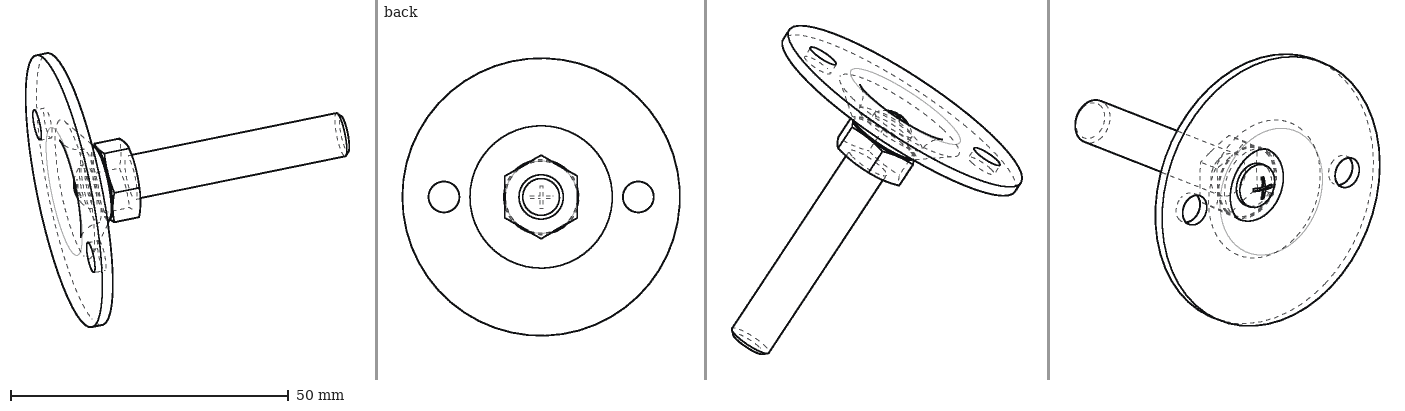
import cadquery as cq
import math

TOTAL_LENGTH = 52.5
PLATE_THICKNESS = 2.0
CONE_TOP = 7.0
COLLAR_HEIGHT = 0.3
NUT_TOP = 12.5

PLATE_DIAMETER = 50.0
HOLE_DIAMETER = 5.5
HOLE_OFFSET = 17.5
CONE_BASE_RADIUS = 12.8
CONE_TOP_RADIUS = 6.7

RECESS_FLOOR_RADIUS = 6.75
RECESS_DEPTH = 5.0

NUT_ACROSS_FLATS = 13.0
NUT_CHAMFER_ANGLE = 15.0
COLLAR_DIAMETER = 12.9

STUD_DIAMETER = 8.0
STUD_CHAMFER = 0.7
HEAD_RIM_HEIGHT = 1.0
DOME_HEIGHT = 2.0
SLOT_LENGTH = 4.1
SLOT_WIDTH = 0.5
SLOT_DEPTH = 0.5


def cylinder(diameter, start, end, x=0.0):
    """Cylinder along Y between two positions."""
    direction = cq.Vector(0, 1, 0)
    return cq.Workplane(cq.Solid.makeCylinder(diameter / 2, end - start, cq.Vector(x, start, 0), direction))


def revolve_about_y(profile):
    return profile.close().revolve(360, (0, 0, 0), (0, 1, 0))


def make_foot():
    plate_radius = PLATE_DIAMETER / 2
    recess_mouth_radius = RECESS_FLOOR_RADIUS + RECESS_DEPTH
    arc_middle = RECESS_DEPTH * math.sqrt(0.5)
    profile = (
        cq.Workplane("XY")
        .moveTo(0, RECESS_DEPTH)
        .lineTo(RECESS_FLOOR_RADIUS, RECESS_DEPTH)
        .threePointArc(
            (recess_mouth_radius - arc_middle, RECESS_DEPTH - arc_middle),
            (recess_mouth_radius, 0),
        )
        .lineTo(plate_radius, 0)
        .lineTo(plate_radius, PLATE_THICKNESS)
        .lineTo(CONE_BASE_RADIUS, PLATE_THICKNESS)
        .lineTo(CONE_TOP_RADIUS, CONE_TOP)
        .lineTo(0, CONE_TOP)
    )
    foot = revolve_about_y(profile)
    for x in (-HOLE_OFFSET, HOLE_OFFSET):
        foot = foot.cut(cylinder(HOLE_DIAMETER, 0, PLATE_THICKNESS, x))
    return foot


def make_nut():
    """Hexagon with two flats facing +X and -X and its corners chamfered at both ends."""
    bottom = CONE_TOP + COLLAR_HEIGHT
    flat_radius = NUT_ACROSS_FLATS / 2
    corner_radius = flat_radius / math.cos(math.radians(30))
    chamfer = (corner_radius - flat_radius) * math.tan(math.radians(NUT_CHAMFER_ANGLE))
    hexagon = (
        cq.Workplane("XZ", origin=(0, bottom, 0))
        .polygon(6, 2 * corner_radius)
        .extrude(bottom - NUT_TOP)
        .rotate((0, 0, 0), (0, 1, 0), 30)
    )
    envelope = revolve_about_y(
        cq.Workplane("XY")
        .moveTo(0, bottom)
        .lineTo(flat_radius, bottom)
        .lineTo(corner_radius, bottom + chamfer)
        .lineTo(corner_radius, NUT_TOP - chamfer)
        .lineTo(flat_radius, NUT_TOP)
        .lineTo(0, NUT_TOP)
    )
    collar = cylinder(COLLAR_DIAMETER, CONE_TOP, bottom)
    return hexagon.intersect(envelope).union(collar)


def make_stud():
    """Chamfered shank, starting at the foot so that it joins the nut and foot."""
    return cylinder(STUD_DIAMETER, CONE_TOP, TOTAL_LENGTH).faces(">Y").chamfer(STUD_CHAMFER)


def make_head():
    """Domed stud head in the recess with a cross slot in its crown."""
    radius = STUD_DIAMETER / 2
    rim = RECESS_DEPTH - HEAD_RIM_HEIGHT
    crown = rim - DOME_HEIGHT
    sphere_radius = (radius**2 + DOME_HEIGHT**2) / (2 * DOME_HEIGHT)
    half_angle = math.asin(radius / sphere_radius) / 2
    arc_middle = (
        sphere_radius * math.sin(half_angle),
        crown + sphere_radius * (1 - math.cos(half_angle)),
    )
    head = revolve_about_y(
        cq.Workplane("XY")
        .moveTo(0, RECESS_DEPTH)
        .lineTo(radius, RECESS_DEPTH)
        .lineTo(radius, rim)
        .threePointArc(arc_middle, (0, crown))
    )
    for length_x, length_z in ((SLOT_LENGTH, SLOT_WIDTH), (SLOT_WIDTH, SLOT_LENGTH)):
        slot = cq.Workplane("XY").box(length_x, 2 * SLOT_DEPTH, length_z).translate((0, crown, 0))
        head = head.cut(slot)
    return head


result = make_foot().union(make_nut()).union(make_stud()).union(make_head())